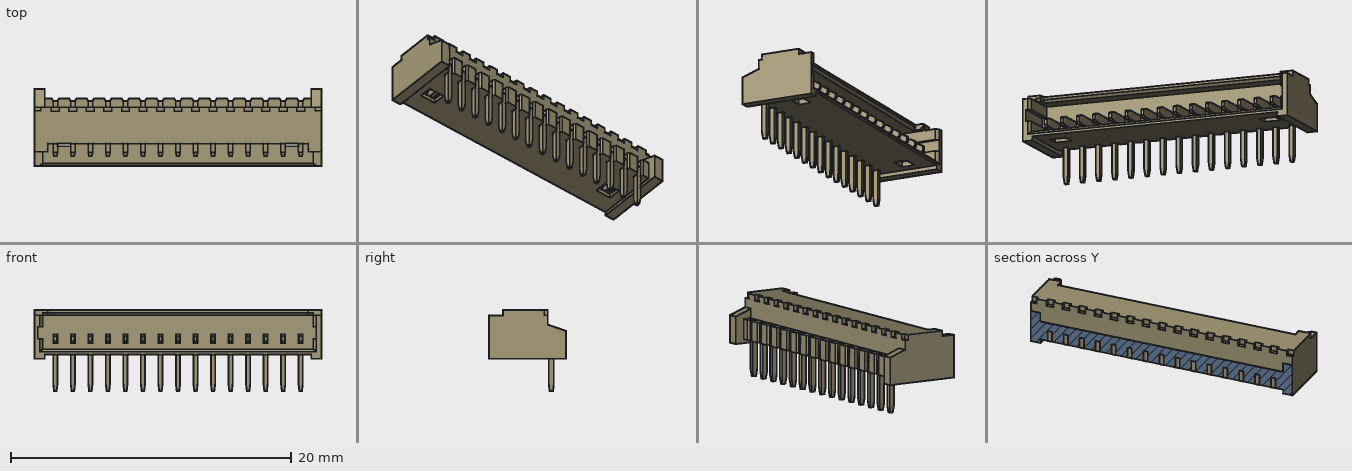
import cadquery as cq


PIN_COUNT = 15
PITCH = 1.25
PIN_THICKNESS = 0.32
CONTACT_HEIGHT = 0.66
CONTACT_BOTTOM = 1.1
CONTACT_TOP = CONTACT_BOTTOM + CONTACT_HEIGHT
CONTACT_TIP_Y = 0.68
CONTACT_TAPER = 0.3
TAIL_DEPTH = 0.38
TAIL_BACK_Y = 4.64
TAIL_LENGTH = 2.3
TAIL_TAPER = 0.5
TIP_INSET_X = 0.06
CONTACT_TIP_INSET_Z = 0.15
TAIL_TIP_INSET_Y = 0.06

LENGTH = 20.5
DEPTH = 5.5
HEIGHT = 3.5
FOOT_WIDTH = 0.75
FOOT_HEIGHT = 0.3

BACK_Y = 4.2
WING_LOW_Z = 2.0
WING_HIGH_Z = 2.45
TOOTH_BACK_Y = 4.82
TOOTH_TOP = CONTACT_TOP
TOOTH_CHAMFER_X = 0.11
TOOTH_CHAMFER_Y = 0.15

WALL = 0.59
CAVITY_FLOOR = 0.69
ROOF_UNDERSIDE = 3.1
CAVITY_BACK_Y = 2.95
LEAD_IN = 0.2
SIDE_STEP_Y = 1.0
ROOF_FRONT_Y = 1.6
ROOF_NOTCH_MARGIN = 0.95
ROOF_LEAD_IN = 0.2

KEY_BOTTOM = 1.45
KEY_TOP = 2.3
LEFT_KEY_WALL = 0.25
RIGHT_KEY_WALL = WALL - LEAD_IN

RECESS_WIDTH = 0.56
RECESS_LENGTH = 0.3
RECESS_DEPTH = 0.4
CORNER_WIDTH = 0.45
CORNER_LENGTH = 0.25
CORNER_DEPTH = 0.38
OPENING_FRONT_Y = 1.42
OPENING_BACK_Y = 2.4

HALF_LENGTH = LENGTH / 2
PIN_X = [(i - (PIN_COUNT - 1) / 2) * PITCH for i in range(PIN_COUNT)]


def box(x0, x1, y0, y1, z0, z1):
    return cq.Workplane("XY").box(x1 - x0, y1 - y0, z1 - z0, centered=False).translate((x0, y0, z0))


def extrude_x(points, x0, x1):
    """Extrude a (y, z) outline from x0 to x1."""
    return cq.Workplane("YZ").polyline(points).close().extrude(x1 - x0).translate((x0, 0, 0))


def make_shell():
    """Main block, with a winged foot at each end."""
    block = box(-HALF_LENGTH, HALF_LENGTH, 0, BACK_Y, FOOT_HEIGHT, HEIGHT)
    end_outline = [
        (0, 0),
        (DEPTH, 0),
        (DEPTH, WING_LOW_Z),
        (BACK_Y, WING_HIGH_Z),
        (BACK_Y, HEIGHT),
        (0, HEIGHT),
    ]
    left_end = extrude_x(end_outline, -HALF_LENGTH, -HALF_LENGTH + FOOT_WIDTH)
    return block.union(left_end).union(left_end.mirror("YZ"))


def make_cavity():
    """Mating pocket with a bevelled mouth on the floor and both sides."""
    half_width = HALF_LENGTH - WALL
    pocket = box(-half_width, half_width, 0, CAVITY_BACK_Y, CAVITY_FLOOR, ROOF_UNDERSIDE)
    floor_mouth_z = CAVITY_FLOOR - LEAD_IN
    mouth = (
        cq.Workplane("XZ")
        .center(0, ROOF_UNDERSIDE)
        .rect(2 * (half_width + LEAD_IN), 2 * (ROOF_UNDERSIDE - floor_mouth_z))
        .workplane(offset=-LEAD_IN)
        .rect(2 * half_width, 2 * (ROOF_UNDERSIDE - CAVITY_FLOOR))
        .loft(ruled=True)
    )
    return pocket.union(mouth)


def make_key_slots():
    left = box(-HALF_LENGTH + LEFT_KEY_WALL, 0, 0, CAVITY_BACK_Y, KEY_BOTTOM, KEY_TOP)
    right = box(0, HALF_LENGTH - RIGHT_KEY_WALL, 0, CAVITY_BACK_Y, KEY_BOTTOM, KEY_TOP)
    return left.union(right)


def roof_bevel(front_y, half_width):
    """Wedge that bevels the underside of the roof behind its front edge."""
    outline = [
        (front_y, ROOF_UNDERSIDE),
        (front_y + ROOF_LEAD_IN, ROOF_UNDERSIDE),
        (front_y, ROOF_UNDERSIDE + ROOF_LEAD_IN),
    ]
    return extrude_x(outline, -half_width, half_width)


def cut_roof_front(body):
    """Step the roof back from the mouth, further back along the middle."""
    half_notch = HALF_LENGTH - ROOF_NOTCH_MARGIN
    body = body.cut(box(-HALF_LENGTH, HALF_LENGTH, 0, SIDE_STEP_Y, ROOF_UNDERSIDE, HEIGHT))
    body = body.cut(roof_bevel(SIDE_STEP_Y, HALF_LENGTH - WALL))
    body = body.cut(box(-half_notch, half_notch, 0, ROOF_FRONT_Y, ROOF_UNDERSIDE, HEIGHT))
    return body.cut(roof_bevel(ROOF_FRONT_Y, half_notch))


def cut_roof_back(body):
    """Recess the roof's back edge above every pin and at both corners."""
    for x in PIN_X:
        body = body.cut(
            box(
                x - RECESS_WIDTH / 2,
                x + RECESS_WIDTH / 2,
                BACK_Y - RECESS_LENGTH,
                BACK_Y,
                HEIGHT - RECESS_DEPTH,
                HEIGHT,
            )
        )
    corner = box(
        -HALF_LENGTH,
        -HALF_LENGTH + CORNER_WIDTH,
        BACK_Y - CORNER_LENGTH,
        BACK_Y,
        HEIGHT - CORNER_DEPTH,
        HEIGHT,
    )
    return body.cut(corner).cut(corner.mirror("YZ"))


def make_teeth():
    """Comb behind the housing, with a flared gap around every pin tail."""
    half_width = HALF_LENGTH - FOOT_WIDTH
    comb = box(-half_width, half_width, BACK_Y, TOOTH_BACK_Y, FOOT_HEIGHT, TOOTH_TOP)
    half_gap = PIN_THICKNESS / 2
    half_mouth = half_gap + TOOTH_CHAMFER_X
    flare_y = TOOTH_BACK_Y - TOOTH_CHAMFER_Y
    gap_outline = [
        (-half_gap, BACK_Y),
        (half_gap, BACK_Y),
        (half_gap, flare_y),
        (half_mouth, TOOTH_BACK_Y),
        (-half_mouth, TOOTH_BACK_Y),
        (-half_gap, flare_y),
    ]
    gap = cq.Workplane("XY").polyline(gap_outline).close().extrude(HEIGHT)
    for x in PIN_X:
        comb = comb.cut(gap.translate((x, 0, 0)))
    return comb


def cut_floor_openings(body):
    """Floor openings between the first two and the last two pins."""
    opening = box(PIN_X[0], PIN_X[1], OPENING_FRONT_Y, OPENING_BACK_Y, 0, CAVITY_FLOOR)
    return body.cut(opening).cut(opening.mirror("YZ"))


def tapered_tip(plane, height, height_inset, length):
    """Pointed end centred on the plane's origin, growing along its normal."""
    return (
        cq.Workplane(plane)
        .rect(PIN_THICKNESS, height)
        .workplane(offset=length)
        .rect(PIN_THICKNESS - 2 * TIP_INSET_X, height - 2 * height_inset)
        .loft(ruled=True)
    )


def make_pin():
    """Bent pin at x = 0: contact blade along Y, tail down along Z, bevelled bend."""
    blade_y = CONTACT_TIP_Y + CONTACT_TAPER
    tail_front_y = TAIL_BACK_Y - TAIL_DEPTH
    taper_z = TAIL_TAPER - TAIL_LENGTH
    outline = [
        (blade_y, CONTACT_BOTTOM),
        (tail_front_y, CONTACT_BOTTOM),
        (tail_front_y, taper_z),
        (TAIL_BACK_Y, taper_z),
        (TAIL_BACK_Y, CONTACT_BOTTOM),
        (BACK_Y, CONTACT_TOP),
        (blade_y, CONTACT_TOP),
    ]
    half = PIN_THICKNESS / 2
    pin = extrude_x(outline, -half, half)
    contact_plane = cq.Plane((0, blade_y, CONTACT_BOTTOM + CONTACT_HEIGHT / 2), (1, 0, 0), (0, -1, 0))
    tail_plane = cq.Plane((0, TAIL_BACK_Y - TAIL_DEPTH / 2, taper_z), (1, 0, 0), (0, 0, -1))
    pin = pin.union(tapered_tip(contact_plane, CONTACT_HEIGHT, CONTACT_TIP_INSET_Z, CONTACT_TAPER))
    return pin.union(tapered_tip(tail_plane, TAIL_DEPTH, TAIL_TIP_INSET_Y, TAIL_TAPER))


housing = make_shell().cut(make_key_slots())
housing = cut_roof_front(housing.cut(make_cavity()))
housing = cut_roof_back(housing)
housing = cut_floor_openings(housing.union(make_teeth()))

pin = make_pin()
result = housing
for x in PIN_X:
    result = result.union(pin.translate((x, 0, 0)))